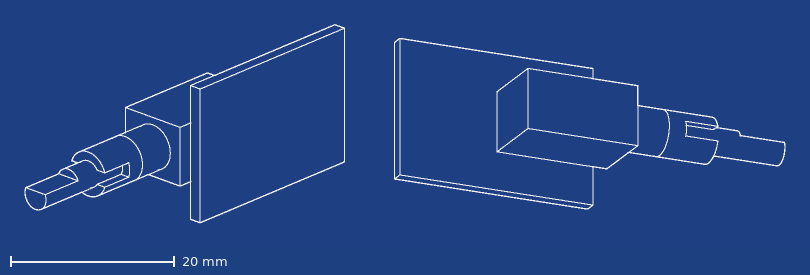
import cadquery as cq


plate_thickness = 1.6
plate_length = 25.95
plate_height = 17.8
plate_front_y = 1.85

block_width = 9.15
block_length = 14.75
block_height = 7.8
barrel_diameter = 5.85
bushing_length = 5.0

sleeve_length = 6.6
slot_width = 1.9
slot_depth = 4.3
tip_diameter = 3.5
flat_length = 5.9
flat_z = 0.7

overall_length = 48.85
tip_end_y = plate_front_y + plate_length - overall_length
sleeve_start_y = -bushing_length
sleeve_end_y = sleeve_start_y - sleeve_length
slot_floor_y = sleeve_end_y + slot_depth


def rod(diameter, start_y, end_y):
    """Cylinder on the shaft axis, running toward -Y from start_y to end_y."""
    profile = cq.Workplane("XZ", origin=(0, start_y, 0)).circle(diameter / 2)
    return profile.extrude(start_y - end_y)


def make_plate():
    """Flat plate against the +X side of the block."""
    plate = cq.Workplane("XY").box(
        plate_thickness, plate_length, plate_height, centered=(False, False, True)
    )
    return plate.translate((block_width / 2, plate_front_y, 0))


def make_housing():
    """Rectangular block joined to its bushing."""
    block = cq.Workplane("XY").box(
        block_width, block_length, block_height, centered=(True, False, True)
    )
    return block.union(rod(barrel_diameter, 0, -bushing_length))


def make_shaft():
    """Sleeve section cross-slotted around the thinner, flatted tip."""
    sleeve = rod(barrel_diameter, sleeve_start_y, sleeve_end_y)
    slot = cq.Workplane("XY").box(
        barrel_diameter, slot_depth, slot_width, centered=(True, False, True)
    ).translate((0, sleeve_end_y, 0))

    tip = rod(tip_diameter, slot_floor_y, tip_end_y)
    flat_cut = cq.Workplane("XY").box(
        tip_diameter, flat_length, tip_diameter, centered=(True, False, False)
    ).translate((0, tip_end_y, flat_z))

    return sleeve.cut(slot).union(tip.cut(flat_cut))


plate = make_plate()
housing = make_housing()
shaft = make_shaft()

result = cq.Compound.makeCompound([plate.val(), housing.val(), shaft.val()])